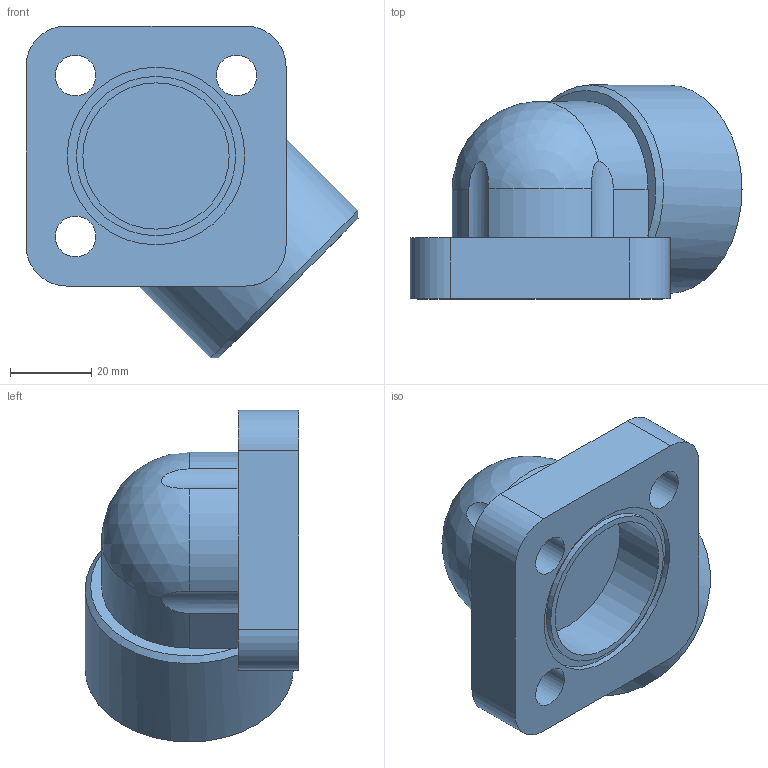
import cadquery as cq
import math

flange_side = 64.0
flange_thickness = 15.0
flange_corner_radius = 10.0

bolt_circle_radius = 28.0
bolt_hole_diameter = 10.0
bolt_head_clearance_diameter = 15.0
bolt_angles = (45.0, 135.0, 225.0)

bore_diameter = 36.0
bore_depth = 13.5
groove_inner_diameter = 39.2
groove_outer_diameter = 43.7
groove_depth = 1.5

elbow_diameter = 43.2
bend_height = 27.0

collar_diameter = 51.3
collar_start = 16.0
collar_end = 46.0
collar_chamfer = 1.35
outlet_angle = math.radians(-45.0)


def flange_plane(height):
    """Sketch plane parallel to the flange face: local X and Y are global X and Z, the normal is -Y."""
    return cq.Workplane(cq.Plane(origin=(0, height, 0), xDir=(1, 0, 0), normal=(0, -1, 0)))


def outlet_plane(distance):
    """Sketch plane square to the outlet axis at a distance from the centre of the bend."""
    direction = (math.cos(outlet_angle), 0, math.sin(outlet_angle))
    origin = (distance * direction[0], bend_height, distance * direction[2])
    return cq.Workplane(cq.Plane(origin=origin, xDir=(0, 1, 0), normal=direction))


def bolt_positions():
    """Bolt centres as (X, Z) pairs."""
    return [
        (
            bolt_circle_radius * math.cos(math.radians(angle)),
            bolt_circle_radius * math.sin(math.radians(angle)),
        )
        for angle in bolt_angles
    ]


def make_flange():
    plate = flange_plane(0).rect(flange_side, flange_side).extrude(-flange_thickness)
    return plate.edges("|Y").fillet(flange_corner_radius)


def make_elbow():
    radius = elbow_diameter / 2
    stem = flange_plane(0).circle(radius).extrude(-bend_height)
    ball = cq.Workplane("XY").sphere(radius).translate((0, bend_height, 0))
    neck_drop = bend_height - flange_thickness / 2
    neck = (
        outlet_plane(0)
        .moveTo(0, radius)
        .threePointArc((radius, 0), (0, -radius))
        .lineTo(-neck_drop, -radius)
        .lineTo(-neck_drop, radius)
        .close()
        .extrude(collar_start)
    )
    return stem.union(ball).union(neck)


def make_collar():
    collar = outlet_plane(collar_start).circle(collar_diameter / 2).extrude(collar_end - collar_start)
    return collar.edges("%CIRCLE").chamfer(collar_chamfer)


def make_bolt_head_clearance():
    length = bend_height + elbow_diameter / 2 - flange_thickness
    pockets = flange_plane(flange_thickness).pushPoints(bolt_positions())
    return pockets.circle(bolt_head_clearance_diameter / 2).extrude(-length)


def make_bolt_holes():
    holes = flange_plane(0).pushPoints(bolt_positions())
    return holes.circle(bolt_hole_diameter / 2).extrude(-flange_thickness)


def make_bore():
    return flange_plane(0).circle(bore_diameter / 2).extrude(-bore_depth)


def make_seal_groove():
    ring = flange_plane(0).circle(groove_outer_diameter / 2).circle(groove_inner_diameter / 2)
    return ring.extrude(-groove_depth)


body = make_flange().union(make_elbow()).union(make_collar())
body = body.cut(make_bolt_head_clearance()).cut(make_bolt_holes())
result = body.cut(make_bore()).cut(make_seal_groove())